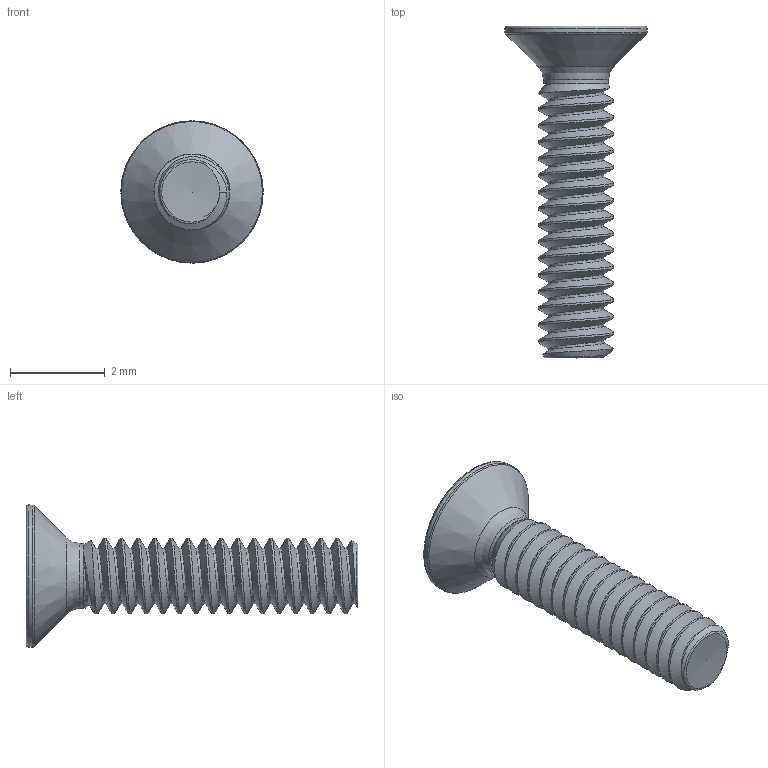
import cadquery as cq
import math


length = 7.0
major_radius = 0.8
pitch = 0.35

head_radius = 1.5
rim_height = 0.155
rim_fillet = 0.05
neck_fillet = 0.4

shank_radius = 0.686
thread_end_radius = 0.667
root_radius = 0.585
flank_angle = math.radians(30)
crest_width = pitch / 8
chamfer_angle = math.radians(30)
thread_end = length - 1.22

hollow_angle = math.radians(3)
tip_fillet = 0.05

groove_overshoot = 0.05
groove_outer_radius = major_radius + groove_overshoot
groove_outer_width = pitch - crest_width + 2 * groove_overshoot * math.tan(flank_angle)
groove_root_width = groove_outer_width - 2 * (groove_outer_radius - root_radius) * math.tan(flank_angle)
groove_bottom = -pitch
groove_turns = 17
runout_turns = 1
runout_rise = 0.12


selection_margin = 0.01


def circle_at(radius, height):
    """Selector of the circular edge of the given radius and height about Z."""
    reach = radius + selection_margin
    low = (-reach, -reach, height - selection_margin)
    high = (reach, reach, height + selection_margin)
    return cq.selectors.BoxSelector(low, high, boundingbox=True)


def revolve_about_z(profile):
    """Solid of revolution of a closed (radius, height) outline."""
    return cq.Workplane("YZ").polyline(profile).close().revolve(360, (0, 0, 0), (0, 1, 0))


def make_head():
    """Countersunk head with the plain neck below it."""
    rim_bottom = length - rim_height
    cone_bottom = rim_bottom - (head_radius - shank_radius)
    head = revolve_about_z(
        [
            (0, thread_end),
            (shank_radius, thread_end),
            (shank_radius, cone_bottom),
            (head_radius, rim_bottom),
            (head_radius, length),
            (0, length),
        ]
    )
    head = head.edges(circle_at(shank_radius, cone_bottom)).fillet(neck_fillet)
    head = head.edges(circle_at(head_radius, rim_bottom)).fillet(rim_fillet)
    return head.edges(circle_at(head_radius, length)).fillet(rim_fillet)


def make_thread_blank():
    """Thread stock, chamfered at both ends and slightly hollowed at the tip."""
    chamfer_height = (major_radius - thread_end_radius) / math.tan(chamfer_angle)
    blank = revolve_about_z(
        [
            (0, thread_end_radius * math.tan(hollow_angle)),
            (thread_end_radius, 0),
            (major_radius, chamfer_height),
            (major_radius, thread_end - chamfer_height),
            (thread_end_radius, thread_end),
            (0, thread_end),
        ]
    )
    return blank.edges(circle_at(thread_end_radius, 0)).fillet(tip_fillet)


def helix(radius, bottom, turns, rise):
    """Right-handed helix from +X whose radius grows by `rise` over its turns."""
    height = turns * pitch
    if rise == 0:
        return cq.Wire.makeHelix(pitch, height, radius, cq.Vector(0, 0, bottom)).Edges()[0]
    slope = math.atan2(rise, height)
    stretch = 1 / math.cos(slope)
    wire = cq.Wire.makeHelix(
        pitch * stretch, height * stretch, radius, cq.Vector(0, 0, bottom), angle=math.degrees(slope)
    )
    return wire.Edges()[0]


def make_groove(bottom, turns, rise=0):
    """Solid with the groove's trapezoidal section, wound about Z."""
    corners = [
        (root_radius, -groove_root_width / 2),
        (groove_outer_radius, -groove_outer_width / 2),
        (groove_outer_radius, groove_outer_width / 2),
        (root_radius, groove_root_width / 2),
    ]
    rails = [helix(radius, bottom + offset, turns, rise) for radius, offset in corners]
    sides = [cq.Face.makeRuledSurface(rails[i - 1], rails[i]) for i in range(len(rails))]
    ends = []
    for pick_end in (cq.Edge.startPoint, cq.Edge.endPoint):
        points = [pick_end(rail) for rail in rails]
        ends.append(cq.Face.makeFromWires(cq.Wire.makePolygon(points, close=True)))
    return cq.Solid.makeSolid(cq.Shell.makeShell(sides + ends)).fix()


def make_thread():
    """Threaded rod: the blank with the groove cut one turn at a time, then its runout."""
    thread = make_thread_blank()
    for turn in range(groove_turns):
        thread = thread.cut(cq.Workplane(make_groove(groove_bottom + turn * pitch, 1)))
    runout_bottom = groove_bottom + groove_turns * pitch
    return thread.cut(cq.Workplane(make_groove(runout_bottom, runout_turns, runout_rise)))


screw = make_head().union(make_thread())
result = screw.rotate((0, 0, 0), (1, 0, 0), -90).translate((0, -length, 0))